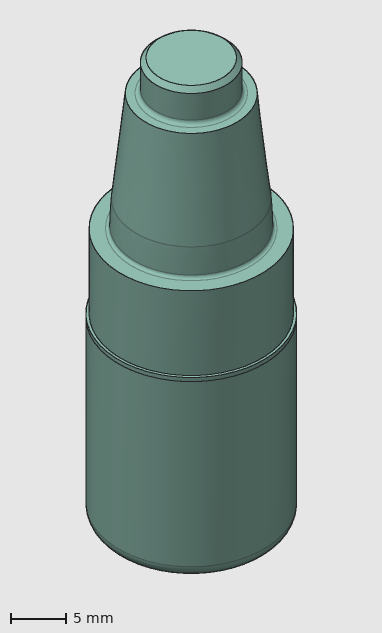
import cadquery as cq
import math

total_height = 52.4

barrel_radius = 9.55
barrel_height = 22.75
barrel_bottom_round = 1.55

flange_height = 0.45
shoulder_diameter = 18.5
shoulder_radius = shoulder_diameter / 2
shoulder_top = 32.9
neck_base_radius = 7.4
neck_fillet = 0.35
taper_start = 36.35
taper_start_radius = 7.25
neck_top = 48.35
neck_top_radius = 5.95
button_radius = 4.6
button_base_fillet = 0.45
button_top_chamfer = 0.5

DIAGONAL = math.sqrt(0.5)


def make_barrel():
    """Round barrel with a flat top and a rounded bottom edge."""
    barrel = cq.Workplane("XY").circle(barrel_radius).extrude(barrel_height)
    return barrel.faces("<Z").edges().fillet(barrel_bottom_round)


def concave_arc(profile, start_radius, end_radius, end_height):
    """Quarter arc from a flat face inwards and up to a vertical wall."""
    size = start_radius - end_radius
    middle = (start_radius - size * DIAGONAL, end_height - size * DIAGONAL)
    return profile.threePointArc(middle, (end_radius, end_height))


def make_insert():
    """Flange, shoulder, tapered neck and button, revolved about Z as one body."""
    flange_top = barrel_height + flange_height
    neck_base = shoulder_top + neck_fillet
    button_wall_start = neck_top + button_base_fillet
    profile = (
        cq.Workplane("XZ")
        .moveTo(0, barrel_height)
        .lineTo(barrel_radius, barrel_height)
        .lineTo(barrel_radius, flange_top)
        .lineTo(shoulder_radius, flange_top)
        .lineTo(shoulder_radius, shoulder_top)
        .lineTo(neck_base_radius + neck_fillet, shoulder_top)
    )
    profile = concave_arc(profile, neck_base_radius + neck_fillet, neck_base_radius, neck_base)
    profile = profile.tangentArcPoint((taper_start_radius, taper_start), relative=False)
    profile = (
        profile.lineTo(neck_top_radius, neck_top)
        .lineTo(button_radius + button_base_fillet, neck_top)
    )
    profile = concave_arc(profile, button_radius + button_base_fillet, button_radius, button_wall_start)
    profile = (
        profile.lineTo(button_radius, total_height - button_top_chamfer)
        .lineTo(button_radius - button_top_chamfer, total_height)
        .lineTo(0, total_height)
        .close()
    )
    return profile.revolve(360, (0, 0, 0), (0, 1, 0))


barrel = make_barrel()
insert = make_insert()
result = cq.Compound.makeCompound([barrel.val(), insert.val()])